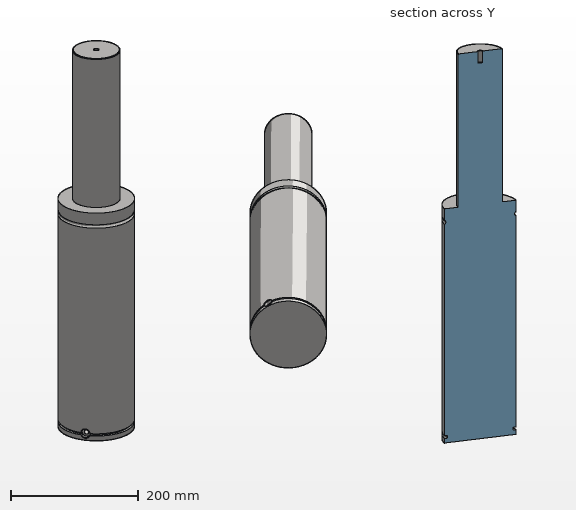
import cadquery as cq

total_height = 640.0
body_height = 387.0
body_diameter = 120.0
rod_diameter = 75.0
rod_edge_chamfer = 1.0

lower_groove_bottom = 8.0
lower_groove_width = 4.0
lower_groove_depth = 4.5

head_height = 20.0
upper_groove_width = 6.0
upper_groove_depth = 2.0

port_height = 11.5
port_diameter = 14.0
port_mouth_diameter = 16.0
port_depth = 6.5
port_passage_diameter = 7.0
port_passage_depth = 19.0

rod_hole_diameter = 7.0
rod_hole_mouth_diameter = 8.0
rod_hole_depth = 19.0

body_radius = body_diameter / 2


def turned_body():
    """Revolve the half section of body and rod about Z."""
    rod_radius = rod_diameter / 2
    lower_groove_radius = body_radius - lower_groove_depth
    lower_groove_top = lower_groove_bottom + lower_groove_width
    upper_groove_top = body_height - head_height
    upper_groove_middle = upper_groove_top - upper_groove_width / 2
    section = (
        cq.Workplane("XZ")
        .lineTo(body_radius, 0)
        .lineTo(body_radius, lower_groove_bottom)
        .lineTo(lower_groove_radius, lower_groove_bottom)
        .lineTo(lower_groove_radius, lower_groove_top)
        .lineTo(body_radius, lower_groove_top)
        .lineTo(body_radius, upper_groove_top - upper_groove_width)
        .threePointArc(
            (body_radius - upper_groove_depth, upper_groove_middle),
            (body_radius, upper_groove_top),
        )
        .lineTo(body_radius, body_height)
        .lineTo(rod_radius, body_height)
        .lineTo(rod_radius, total_height - rod_edge_chamfer)
        .lineTo(rod_radius - rod_edge_chamfer, total_height)
        .lineTo(0, total_height)
        .close()
    )
    return section.revolve(360, (0, 0, 0), (0, 1, 0))


def hole_cutter(start, direction, diameter, mouth_diameter, depth):
    """Blind hole with a 45 degree countersink, running from start along direction."""
    radius = diameter / 2
    mouth_radius = mouth_diameter / 2
    countersink_depth = mouth_radius - radius
    bore = cq.Solid.makeCylinder(radius, depth, start, direction)
    countersink = cq.Solid.makeCone(mouth_radius, radius, countersink_depth, start, direction)
    return bore.fuse(countersink)


rod_hole = hole_cutter(
    cq.Vector(0, 0, total_height),
    cq.Vector(0, 0, -1),
    rod_hole_diameter,
    rod_hole_mouth_diameter,
    rod_hole_depth,
)
port_start = cq.Vector(0, -body_radius, port_height)
inward = cq.Vector(0, 1, 0)
port = hole_cutter(port_start, inward, port_diameter, port_mouth_diameter, port_depth)
port_passage = cq.Solid.makeCylinder(port_passage_diameter / 2, port_passage_depth, port_start, inward)

result = turned_body().cut(rod_hole).cut(port).cut(port_passage)